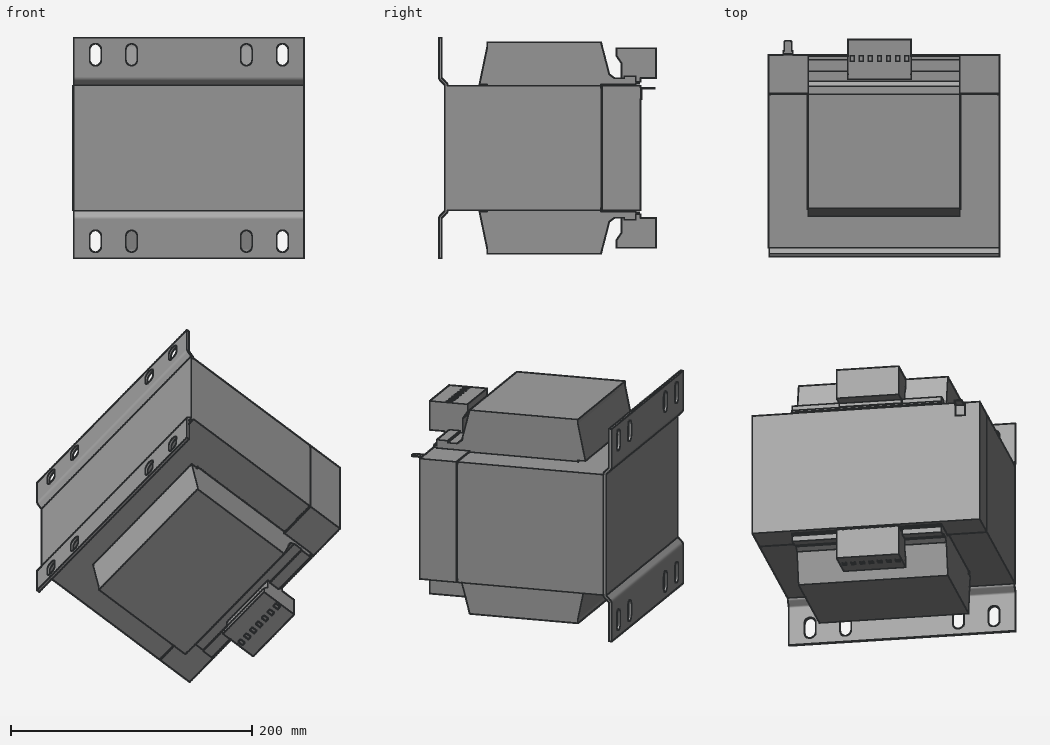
import cadquery as cq
import math

CORE_WIDTH = 192.0
CORE_HALF_HEIGHT = 51.8
CORE_FRONT = 7.3
CORE_REAR = 167.5
AIR_GAP = 0.8
AIR_GAP_FRONT = 134.5
GAP_DEPTH = 2.0

COIL_HALF_WIDTH = 63.0
COIL_TOP = 87.7
COIL_TOP_FRONT = 40.1
COIL_TOP_REAR = AIR_GAP_FRONT
COIL_FRONT_BEND = 84.0
COIL_FOOT_FRONT = 33.6
COIL_FOOT_REAR = 141.5
COIL_FOOT_TOP = 61.0
COIL_UNDERSIDE = CORE_HALF_HEIGHT + AIR_GAP
LEDGE_TOP = 58.0
LEDGE_FRONT = 145.7
RAIL_FRONT = 153.8
RAIL_REAR = 163.4
RAIL_TOP = 59.7
LIP_REAR = 166.0
LIP_TOP = 55.0
LIP_THICKNESS = 1.5

POLE_PITCH = 7.5
POLE_COUNT = 7
TERMINAL_LEFT = -30.0
TERMINAL_REAR = 180.3
TERMINAL_FRONT = 147.3
TERMINAL_WAIST = 151.5
TERMINAL_TOP = 83.0
TERMINAL_NOSE = 76.6
TERMINAL_NECK = 70.3
POCKET_WIDTH = 3.3
POCKET_LENGTH = 4.8
POCKET_CENTER = 164.4
POCKET_DEPTH = 1.0

PLATE_WIDTH = 191.2
PLATE_CENTER = (CORE_WIDTH - PLATE_WIDTH) / 2
PLATE_HALF_HEIGHT = 183.0 / 2
PLATE_THICKNESS = 2.5
JOGGLE = CORE_FRONT - PLATE_THICKNESS
JOGGLE_TOP = 57.0
FLANGE_BEND = 4.6
WEB_BEND = 2.7
SLOT_WIDTH = 9.5
SLOT_LENGTH = 18.0
SLOT_OFFSETS = (47.6, 77.5)
SLOT_HEIGHT = 77.4

TAB_CENTER = -79.7
TAB_WIDTH = 8.0
TAB_BLADE_WIDTH = 6.5
TAB_THICKNESS = 0.8
TAB_TOP = 50.1
TAB_BOTTOM = 40.5
TAB_SHOULDER = 170.7
TAB_TIP = 179.1
TAB_TIP_CHAMFER = 1.0


def box(x_range, y_range, z_range):
    """Box spanning the given (low, high) range on each axis."""
    size = [high - low for low, high in (x_range, y_range, z_range)]
    return cq.Workplane("XY").box(*size, centered=False).translate(
        (x_range[0], y_range[0], z_range[0])
    )


def extrude_side(points, left, right):
    """Extrude a (y, z) outline along X from left to right."""
    outline = cq.Workplane("YZ").workplane(offset=left).polyline(points).close()
    return outline.extrude(right - left)


def with_mirror(upper):
    """Join a body above the core with its mirror image below."""
    return upper.union(upper.mirror("XY"))


def make_core():
    half_width = CORE_WIDTH / 2
    core = box(
        (-half_width, half_width),
        (CORE_FRONT, CORE_REAR),
        (-CORE_HALF_HEIGHT, CORE_HALF_HEIGHT),
    )
    gap_length = (AIR_GAP_FRONT, AIR_GAP_FRONT + AIR_GAP)
    gap_band = box(
        (-half_width, half_width), gap_length, (-CORE_HALF_HEIGHT, CORE_HALF_HEIGHT)
    )
    inner_half_width = half_width - GAP_DEPTH
    inner_half_height = CORE_HALF_HEIGHT - GAP_DEPTH
    gap_floor = box(
        (-inner_half_width, inner_half_width),
        gap_length,
        (-inner_half_height, inner_half_height),
    )
    window_half_width = COIL_HALF_WIDTH + AIR_GAP
    window = box(
        (-window_half_width, window_half_width),
        (COIL_TOP_FRONT - AIR_GAP, AIR_GAP_FRONT + AIR_GAP),
        (inner_half_height, CORE_HALF_HEIGHT),
    )
    return core.cut(gap_band.cut(gap_floor)).cut(with_mirror(window))


def make_coil():
    leg_bottom = CORE_HALF_HEIGHT - GAP_DEPTH
    lip_bottom = LIP_TOP - LIP_THICKNESS
    outline = [
        (COIL_TOP_FRONT, leg_bottom),
        (COIL_TOP_FRONT, COIL_UNDERSIDE),
        (COIL_FOOT_FRONT, COIL_UNDERSIDE),
        (COIL_TOP_FRONT, COIL_FRONT_BEND),
        (COIL_TOP_FRONT, COIL_TOP),
        (COIL_TOP_REAR, COIL_TOP),
        (COIL_FOOT_REAR, COIL_FOOT_TOP),
        (LEDGE_FRONT, LEDGE_TOP),
        (RAIL_FRONT, LEDGE_TOP),
        (RAIL_FRONT, RAIL_TOP),
        (RAIL_REAR, RAIL_TOP),
        (RAIL_REAR, LIP_TOP),
        (LIP_REAR, LIP_TOP),
        (LIP_REAR, lip_bottom),
        (RAIL_REAR, lip_bottom),
        (RAIL_REAR, COIL_UNDERSIDE),
        (COIL_TOP_REAR, COIL_UNDERSIDE),
        (COIL_TOP_REAR, leg_bottom),
    ]
    return extrude_side(outline, -COIL_HALF_WIDTH, COIL_HALF_WIDTH)


def make_terminals():
    outline = [
        (TERMINAL_REAR, LEDGE_TOP),
        (TERMINAL_REAR, TERMINAL_TOP),
        (TERMINAL_FRONT, TERMINAL_TOP),
        (TERMINAL_FRONT, TERMINAL_NOSE),
        (TERMINAL_WAIST, TERMINAL_NECK),
        (TERMINAL_WAIST, LEDGE_TOP),
        (RAIL_FRONT, LEDGE_TOP),
        (RAIL_FRONT, RAIL_TOP),
        (RAIL_REAR, RAIL_TOP),
        (RAIL_REAR, LIP_TOP),
        (CORE_REAR, LIP_TOP),
        (CORE_REAR, LEDGE_TOP),
    ]
    terminal_right = TERMINAL_LEFT + POLE_COUNT * POLE_PITCH
    terminals = extrude_side(outline, TERMINAL_LEFT, terminal_right)
    for pole in range(POLE_COUNT):
        pole_center = TERMINAL_LEFT + (pole + 0.5) * POLE_PITCH
        pocket = box(
            (pole_center - POCKET_WIDTH / 2, pole_center + POCKET_WIDTH / 2),
            (POCKET_CENTER - POCKET_LENGTH / 2, POCKET_CENTER + POCKET_LENGTH / 2),
            (TERMINAL_TOP - POCKET_DEPTH, TERMINAL_TOP),
        )
        terminals = terminals.cut(pocket)
    return terminals


def make_plate():
    bend_rise = PLATE_THICKNESS * math.tan(math.radians(22.5))
    joggle_bottom = JOGGLE_TOP - JOGGLE
    flange_front = (0, JOGGLE_TOP)
    flange_back = (PLATE_THICKNESS, JOGGLE_TOP + bend_rise)
    web_back = (CORE_FRONT, joggle_bottom + bend_rise)
    upper_outline = [
        (JOGGLE, 0),
        (JOGGLE, joggle_bottom),
        flange_front,
        (0, PLATE_HALF_HEIGHT),
        (PLATE_THICKNESS, PLATE_HALF_HEIGHT),
        flange_back,
        web_back,
        (CORE_FRONT, 0),
    ]
    half_width = PLATE_WIDTH / 2
    upper = extrude_side(upper_outline, PLATE_CENTER - half_width, PLATE_CENTER + half_width)
    bends = (
        (flange_front, FLANGE_BEND),
        (flange_back, FLANGE_BEND - PLATE_THICKNESS),
        (web_back, WEB_BEND),
    )
    for corner, radius in bends:
        bend_edge = cq.selectors.NearestToPointSelector((PLATE_CENTER, *corner))
        upper = upper.edges("|X").edges(bend_edge).fillet(radius)

    slot_centers = [
        (PLATE_CENTER + side * offset, SLOT_HEIGHT)
        for offset in SLOT_OFFSETS
        for side in (-1, 1)
    ]
    slots = (
        cq.Workplane("XZ")
        .pushPoints(slot_centers)
        .slot2D(SLOT_LENGTH, SLOT_WIDTH, 90)
        .extrude(-PLATE_THICKNESS)
    )
    return with_mirror(upper.cut(slots))


def make_earth_tab():
    def across(width):
        return (TAB_CENTER - width / 2, TAB_CENTER + width / 2)

    thickness = (TAB_TOP - TAB_THICKNESS, TAB_TOP)
    base = box(across(TAB_WIDTH), (CORE_REAR, CORE_REAR + TAB_THICKNESS), (TAB_BOTTOM, TAB_TOP))
    shoulder = box(across(TAB_WIDTH), (CORE_REAR, TAB_SHOULDER), thickness)
    blade = box(across(TAB_BLADE_WIDTH), (CORE_REAR, TAB_TIP), thickness)
    blade = blade.edges("|Z and >Y").chamfer(TAB_TIP_CHAMFER)
    return base.union(shoulder).union(blade)


winding = with_mirror(make_coil().union(make_terminals()))
result = make_core().union(winding).union(make_plate()).union(make_earth_tab())